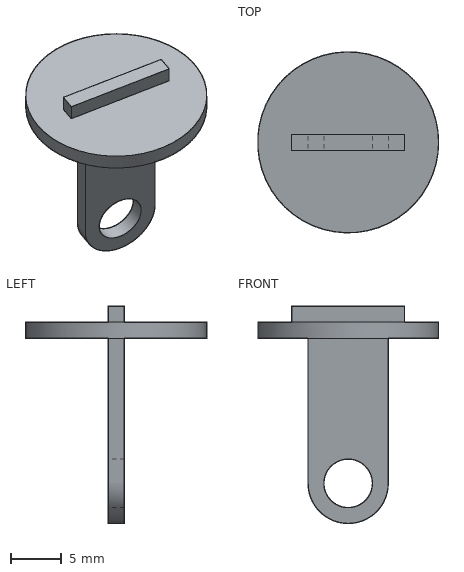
import cadquery as cq

total_height = 21.43
disc_diameter = 17.85
thickness = 1.59
tab_width = 7.93
hole_diameter = 4.75
bar_length = 11.12

tab_radius = tab_width / 2
disc_top = total_height - thickness
disc_bottom = disc_top - thickness


def make_disc():
    """Round flange, centred on the Z axis."""
    return cq.Workplane("XY").workplane(offset=disc_bottom).circle(disc_diameter / 2).extrude(thickness)


def make_grip_bar():
    """Straight bar standing on top of the disc."""
    return cq.Workplane("XY").workplane(offset=disc_top).rect(bar_length, thickness).extrude(thickness)


def make_tab():
    """Flat tab hanging below the disc, with a hole concentric with its rounded end."""
    outline = (
        cq.Workplane("XZ")
        .moveTo(-tab_radius, disc_bottom)
        .lineTo(-tab_radius, tab_radius)
        .threePointArc((0, 0), (tab_radius, tab_radius))
        .lineTo(tab_radius, disc_bottom)
        .close()
    )
    tab = outline.extrude(thickness / 2, both=True)
    hole = (
        cq.Workplane("XZ")
        .center(0, tab_radius)
        .circle(hole_diameter / 2)
        .extrude(thickness / 2, both=True)
    )
    return tab.cut(hole)


result = make_disc().union(make_grip_bar()).union(make_tab())